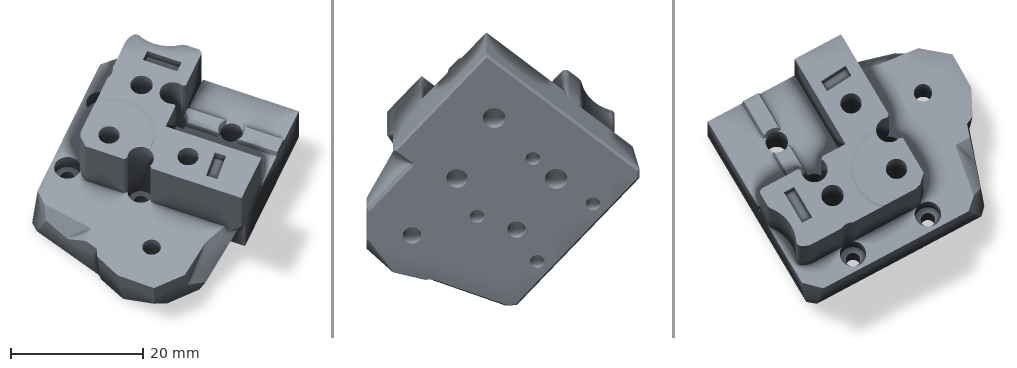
import cadquery as cq

width = 31.5
length = 37.83
base_height = 5.85
deck_height = 7.15
block_height = 14.7
disc_height = 14.83
bottom_chamfer = 0.38
far = 113.5

block_left = 4.35
block_front = 14.65
stem_right = 15.85
arm_back = 22.7
block_corner_chamfer = 1.65

back_corner_diameter = 6.0
back_corner_radius = back_corner_diameter / 2
hollow_radius = 6.45
hollow_center_x = block_left + 4.12
hollow_depth = 1.55
hollow_center_y = length - hollow_depth + hollow_radius
crest_fillet = 0.75
back_blend_fillet = 1.5
stem_corner_fillet = 0.75

disc_x = 8.78
disc_y = 17.95
disc_radius = 6.47

screw_x = (2.6, 14.55)
screw_y = (15.8, 28.83)
screw_diameter = 2.2
counterbore_diameter = 4.0
counterbore_depth = 2.6
counterbore_floor = base_height - counterbore_depth
mouth_half_width = 2.2
side_mouth_half_width = 2.05
throat_half_width = 1.85
mouth_depth = 0.5
side_mouth_depth = 0.35

ridge_hole_x = 23.53
ridge_hole_y = 30.3
ridge_hole_diameter = 3.4
through_holes = [
    (ridge_hole_x, ridge_hole_y, ridge_hole_diameter),
    (9.6, 28.45, 3.4),
    (21.1, 18.75, 3.2),
    (19.95, 6.92, 2.8),
]

pivot_x = 8.55
pivot_y = 17.95
pivot_diameter = 3.2
pivot_lower_diameter = 2.8

ridge_height = 0.8
ridge_front = 28.8
ridge_back = 31.85
ridge_slope = 0.25
ridge_hole_top_diameter = 4.0
ridge_gap_half_width = 1.45
screw_clearance_top_diameter = 4.7

pocket_depth = 1.5
stem_pocket = [(8.05, 32.85), (13.65, 32.85), (13.65, 34.6), (8.05, 34.6)]
arm_pocket = [(24.95, 16.55), (26.8, 16.55), (26.4, 21.0), (24.6, 21.0)]

base_right_front_y = 9.95
tip_x = 23.1
base_bottom = [
    (0, 36.65), (0, 7.83), (1.05, 6.8), (13.3, 2.6), (13.43, 2.42),
    (18.2, 0.15), (tip_x, 0), (width, base_right_front_y), (width, length), (0.95, length),
]
base_top = [
    (0, 35.45), (0, 10.2), (3.5, 6.47), (12.35, 3.55), (12.95, 2.25),
    (17.1, 0.15), (tip_x, 0), (width, base_right_front_y), (width, length), (2.4, length),
]


def beyond(origin, second, third, outward):
    """Everything on the outward side of the plane through three points."""
    start = cq.Vector(*origin)
    along = cq.Vector(*second) - start
    normal = along.cross(cq.Vector(*third) - start)
    if normal.dot(cq.Vector(*outward)) < 0:
        normal = -normal
    plane = cq.Plane(origin=start, xDir=along, normal=normal)
    return cq.Workplane(plane).rect(2 * far, 2 * far).extrude(far)


def box(x0, x1, y0, y1, z0, z1):
    return cq.Workplane().box(x1 - x0, y1 - y0, z1 - z0, centered=False).translate((x0, y0, z0))


def prism(points, z0, z1):
    return cq.Workplane().workplane(offset=z0).polyline(points).close().extrude(z1 - z0)


def cylinder(x, y, diameter, z0, z1):
    return cq.Workplane().workplane(offset=z0).center(x, y).circle(diameter / 2).extrude(z1 - z0)


def cone(x, y, lower_diameter, upper_diameter, z0, z1):
    return (
        cq.Workplane().workplane(offset=z0).center(x, y).circle(lower_diameter / 2)
        .workplane(offset=z1 - z0).circle(upper_diameter / 2).loft()
    )


def make_base():
    """Base slab whose drafted sides join the bottom outline to the top outline."""
    return (
        cq.Workplane().polyline(base_bottom).close()
        .workplane(offset=base_height).polyline(base_top).close().loft(ruled=True)
    )


def make_block():
    """L-shaped upper block with the thin raised disc on its front left corner."""
    corners = [
        (block_left, block_front), (width, block_front), (width, arm_back),
        (stem_right, arm_back), (stem_right, length), (block_left, length),
    ]
    block = prism(corners, 0, block_height)

    def upright_edges(x0, x1, y0, y1):
        zone = cq.selectors.BoxSelector((x0, y0, 0), (x1, y1, block_height))
        return block.edges("|Z").edges(zone)

    middle_x = hollow_center_x
    middle_y = (arm_back + length) / 2
    block = upright_edges(0, middle_x, 0, middle_y).chamfer(block_corner_chamfer)
    block = upright_edges(0, middle_x, middle_y, far).fillet(back_corner_radius)
    block = upright_edges(middle_x, far, middle_y, far).fillet(stem_corner_fillet)
    block = block.cut(cylinder(hollow_center_x, hollow_center_y, 2 * hollow_radius, 0, block_height))
    crest_y = length - back_corner_radius / 2
    block = upright_edges(0, middle_x, crest_y, far).fillet(crest_fillet)
    blend_limit_x = stem_right - 2 * stem_corner_fillet
    block = upright_edges(middle_x, blend_limit_x, crest_y, far).fillet(back_blend_fillet)
    disc = cylinder(disc_x, disc_y, 2 * disc_radius, block_height, disc_height)
    footprint = block.translate((0, 0, disc_height - block_height))
    return block.union(disc.intersect(footprint))


def make_ridge():
    """Slope-sided ridge along the deck, interrupted at the through hole and the screw hole."""
    top = deck_height + ridge_height
    profile = [
        (ridge_front, deck_height), (ridge_back, deck_height),
        (ridge_back - ridge_slope, top), (ridge_front + ridge_slope, top),
    ]
    ridge_end = cq.Workplane("YZ", origin=(stem_right, 0, 0)).polyline(profile).close()
    ridge = ridge_end.extrude(width - stem_right)
    flare = cone(ridge_hole_x, ridge_hole_y, ridge_hole_diameter, ridge_hole_top_diameter, deck_height, top)
    gap_left = ridge_hole_x - ridge_gap_half_width
    gap_right = ridge_hole_x + ridge_gap_half_width
    gap = box(gap_left, gap_right, ridge_front, ridge_back, deck_height, top)
    clearance = cone(
        screw_x[1], screw_y[1], counterbore_diameter, screw_clearance_top_diameter, deck_height, top
    )
    return ridge.cut(flare).cut(gap).cut(clearance)


def front_left_recess():
    """Sloping bite out of the front edge: a floor falling forward and an end wall rising to the right."""
    inner_left = (1.8, 8.3, base_height)
    inner_right = (10.2, 6.75, base_height)
    outer_right = (10.2, 4.3, base_height)
    low_left = (2.7, 6.75, 4.4)
    low_right = (7.15, 5.15, 3.65)
    floor = beyond(inner_left, inner_right, low_left, (0, 0, 1))
    end_wall = beyond(inner_right, outer_right, low_right, (0, 0, 1))
    below_top = box(0, width, 0, block_front, 0, base_height)
    return floor.intersect(end_wall).intersect(below_top)


def right_corner():
    """Facets that take away the front right corner of the base."""
    shoulder = (28.7, block_front, base_height)
    bend = (27.2, 10.85, base_height)
    nose = (26.5, 3.97, base_height)
    nose_low = (26.85, 4.45, 3.03)
    waist = (28.83, 6.75, 1.6)
    undercut_bottom = (27.9, 6.75, 0)
    notch_back = 16.0
    roof_left = (29.45, block_front, 4.95)
    roof_right = (width, block_front, 7.2)
    roof_back = (30.4, notch_back, 4.5)

    slope = beyond(shoulder, bend, waist, (1, 0, 0))
    steep = beyond(bend, nose, nose_low, (1, 0, 0))
    undercut_back = (waist[0], notch_back, waist[2])
    undercut = beyond(waist, undercut_bottom, undercut_back, (1, 0, -1))
    roof = beyond(roof_left, roof_right, roof_back, (0, 0, -1))
    ahead_of_block = box(0, far, 0, block_front, 0, base_height)
    under_roof = box(0, far, 0, notch_back, 0, block_height).intersect(roof)
    zone = ahead_of_block.union(under_roof)
    return zone.intersect(slope.intersect(steep).union(undercut))


def tip_undercut():
    """Small facet under the tip, highest at the tip's corner."""
    left_low = (18.2, 0.15, 0.23)
    corner = (tip_x, 0, 1.78)
    right_low = (24.55, 1.7, bottom_chamfer)
    return beyond(left_low, corner, right_low, (0, 0, -1))


def screw_openings():
    """Counterbored holes, with flared mouths where two counterbores break through the block's sides."""
    spots = [(x, y) for x in screw_x for y in screw_y]
    cutter = cq.Workplane().pushPoints(spots).circle(screw_diameter / 2).extrude(disc_height)
    heads = cq.Workplane().workplane(offset=counterbore_floor).pushPoints(spots)
    cutter = cutter.union(heads.circle(counterbore_diameter / 2).extrude(disc_height - counterbore_floor))
    x, y = screw_x[1], screw_y[0]
    front_mouth = [
        (x - mouth_half_width, block_front), (x + mouth_half_width, block_front),
        (x + throat_half_width, block_front + mouth_depth),
        (x - throat_half_width, block_front + mouth_depth),
    ]
    y = screw_y[1]
    side_mouth = [
        (stem_right, y - side_mouth_half_width), (stem_right, y + side_mouth_half_width),
        (stem_right - side_mouth_depth, y + throat_half_width),
        (stem_right - side_mouth_depth, y - throat_half_width),
    ]
    cutter = cutter.union(prism(front_mouth, base_height, disc_height))
    return cutter.union(prism(side_mouth, deck_height, disc_height))


def chamfered_base():
    """Base with a chamfer around its underside, except below the tip's left and front faces."""
    base = make_base().cut(right_corner())
    notch_y = base_bottom[3][1]
    underside_edges = base.faces("<Z").edges().vals()
    rim = [edge for edge in underside_edges if edge.Center().y > notch_y or edge.Center().x > tip_x]
    base = base.newObject(rim).chamfer(bottom_chamfer)
    return base.cut(front_left_recess()).cut(tip_undercut())


upper = make_block().union(box(stem_right, width, arm_back, length, 0, deck_height))
upper = upper.union(make_ridge()).intersect(box(0, width, 0, length, base_height, far))
upper = upper.cut(right_corner())
result = chamfered_base().union(upper).cut(screw_openings())
for x, y, diameter in through_holes:
    result = result.cut(cylinder(x, y, diameter, 0, disc_height))
result = result.cut(cylinder(pivot_x, pivot_y, pivot_lower_diameter, 0, base_height))
result = result.cut(cylinder(pivot_x, pivot_y, pivot_diameter, base_height, disc_height))
for outline in (stem_pocket, arm_pocket):
    result = result.cut(prism(outline, block_height - pocket_depth, disc_height))